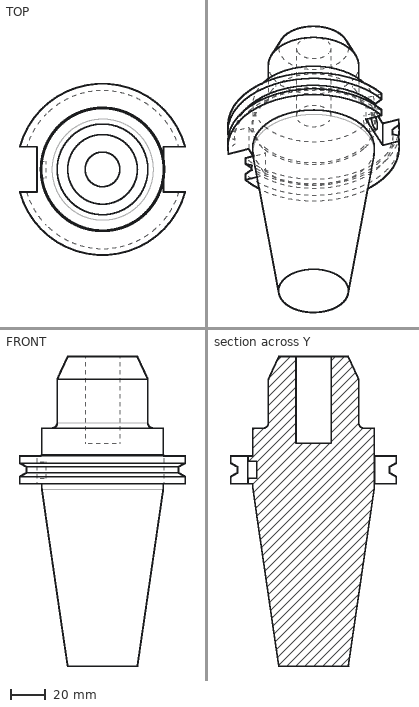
import cadquery as cq

total_height = 177.8
taper_height = 101.7
flange_bottom = 104.7
flange_height = 16.0
collar_top = 136.7
nose_chamfer_height = 13.0

taper_small_diameter = 40.2
gauge_diameter = 69.9
flange_diameter = 98.5
groove_diameter = 91.0
collar_diameter = 69.9
neck_diameter = 52.1
nose_diameter = 40.0
bore_diameter = 20.0

collar_base_fillet = 0.7
neck_fillet = 3.0
bore_depth = 49.8
groove_floor_width = 3.4
groove_mouth_width = 7.6
slot_width = 25.8
left_slot_distance = 37.7
right_slot_distance = 35.0
side_hole_diameter = 9.6
side_hole_depth = 5.0

flange_top = flange_bottom + flange_height
flange_middle = flange_bottom + flange_height / 2


def disc(diameter, bottom, top):
    """Cylinder on the Z axis between two heights."""
    return cq.Workplane("XY").workplane(offset=bottom).circle(diameter / 2).extrude(top - bottom)


def make_shank():
    """Tapered shank with a short straight band below the flange."""
    return (
        cq.Workplane("XZ")
        .lineTo(taper_small_diameter / 2, 0)
        .lineTo(gauge_diameter / 2, taper_height)
        .lineTo(gauge_diameter / 2, flange_bottom)
        .lineTo(0, flange_bottom)
        .close()
        .revolve(360, (0, 0), (0, 1))
    )


def make_flange():
    """Gripper flange with a V-sided groove around its rim."""
    rim = flange_diameter / 2
    groove_floor = groove_diameter / 2
    groove = (
        cq.Workplane("XZ")
        .moveTo(rim, flange_middle - groove_mouth_width / 2)
        .lineTo(groove_floor, flange_middle - groove_floor_width / 2)
        .lineTo(groove_floor, flange_middle + groove_floor_width / 2)
        .lineTo(rim, flange_middle + groove_mouth_width / 2)
        .close()
        .revolve(360, (0, 0), (0, 1))
    )
    return disc(flange_diameter, flange_bottom, flange_top).cut(groove)


def make_nose():
    """Collar and neck with concave fillets at their bases and a conical tip."""
    collar_radius = collar_diameter / 2
    neck_radius = neck_diameter / 2
    return (
        cq.Workplane("XZ")
        .moveTo(0, flange_top)
        .lineTo(collar_radius + collar_base_fillet, flange_top)
        .radiusArc((collar_radius, flange_top + collar_base_fillet), collar_base_fillet)
        .lineTo(collar_radius, collar_top)
        .lineTo(neck_radius + neck_fillet, collar_top)
        .radiusArc((neck_radius, collar_top + neck_fillet), neck_fillet)
        .lineTo(neck_radius, total_height - nose_chamfer_height)
        .lineTo(nose_diameter / 2, total_height)
        .lineTo(0, total_height)
        .close()
        .revolve(360, (0, 0), (0, 1))
    )


def make_drive_slot(distance, side):
    """Key slot cutter through the flange; side is -1 for -X and +1 for +X."""
    depth = flange_diameter / 2 - distance
    return (
        cq.Workplane("XY")
        .box(depth, slot_width, flange_height)
        .translate((side * (distance + depth / 2), 0, flange_middle))
    )


bore = disc(bore_diameter, total_height - bore_depth, total_height)

side_hole = (
    cq.Workplane("YZ", origin=(-left_slot_distance, 0, flange_middle))
    .circle(side_hole_diameter / 2)
    .extrude(side_hole_depth)
)

result = (
    make_shank()
    .union(make_flange())
    .union(make_nose())
    .cut(make_drive_slot(left_slot_distance, -1))
    .cut(make_drive_slot(right_slot_distance, 1))
    .cut(bore)
    .cut(side_hole)
)